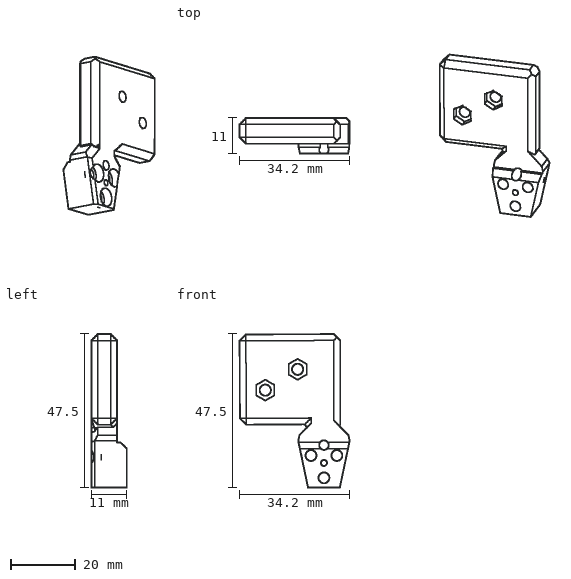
import cadquery as cq
import math


overall_height = 47.55
thickness = 8.0
bevel = 2.0
plate_left = -26.02
plate_right = 5.05
plate_bottom = 19.42
plate_height = 27.975
plate_tilt = 0.3
neck_left = -5.95
neck_bottom = plate_bottom - bevel
neck_top = 40.0

gusset_front = thickness / 2
gusset_bottom = 12.0
gusset_top = 23.0
gusset_bevel = 1.0
flare_x = -plate_right
flare_height = plate_bottom + neck_left - flare_x
flare_bevel_rise = 2.6

foot_base_half = 4.95
foot_wide_half = 8.0
foot_wide_height = 14.5
shoulder_half = 7.6
shoulder_height = 16.25
peak_half = 3.0
peak_height = shoulder_height + shoulder_half - peak_half
foot_side_bevel = 1.0

step_depth = 3.0
step_height = 14.0
step_bevel = 2.0

mount_holes = [(-8.15, 36.6), (-18.15, 30.15)]
mount_hole_diameter = 3.4
hexagon_sides = 6
nut_across_flats = 5.6
nut_depth = 2.5

screw_spacing = 8.0
lowest_screw_height = 3.0
screw_diameter = 3.3
head_diameter = 5.6
head_depth = 3.0
pilot_diameter = 1.8
locator_diameter = 2.9
locator_height = 13.15

front = -step_depth
back = thickness


def prism(outline, y_start, y_end):
    """Closed (x, z) outline extruded along Y."""
    plane = cq.Workplane("XZ", origin=(0, y_end, 0))
    return plane.polyline(outline).close().extrude(y_end - y_start)


def bore(x, z, diameter, y_start, y_end):
    """Cylinder along Y, used as a cutter."""
    plane = cq.Workplane("XZ", origin=(x, y_end, z))
    return plane.circle(diameter / 2).extrude(y_end - y_start)


def back_edge_cutter(start, end, inset, depth):
    """Wedge bevelling the back edge from start to end; the body lies left of that direction."""
    run_x = end[0] - start[0]
    run_z = end[1] - start[1]
    length = math.hypot(run_x, run_z)
    along = cq.Vector(run_x / length, 0, run_z / length)
    outward = cq.Vector(along.z, 0, -along.x)
    origin = cq.Vector(start[0], back, start[1]) - along * length
    plane = cq.Plane(origin=origin, xDir=outward, normal=along)
    wedge = [(-inset, 0), (inset, 0), (inset, -2 * depth)]
    return cq.Workplane(plane).polyline(wedge).close().extrude(3 * length)


def bevelled_bar(axis_plane, across, up, edges):
    """Long bar centred on the origin with its four long edges bevelled."""
    bar = cq.Workplane(axis_plane).rect(across, up).extrude(overall_height, both=True)
    return bar.edges(edges).chamfer(bevel)


def make_right_end(left, bottom, top):
    """Crossed bars whose right-hand bevels meet in mitred corners."""
    width = plate_right - left
    height = top - bottom
    upright = bevelled_bar("XY", width, thickness, "|Z")
    through = bevelled_bar("XZ", width, height, "|Y")
    centre = ((left + plate_right) / 2, thickness / 2, (bottom + top) / 2)
    return upright.intersect(through).translate(centre)


def make_plate():
    """Tilted plate, bevelled all round, whose right end is trimmed upright with mitred bevels."""
    spare = 2 * bevel
    length = plate_right + spare - plate_left
    plate = cq.Workplane("XY").box(length, thickness, plate_height, centered=False)
    plate = plate.edges().chamfer(bevel).translate((plate_left, 0, plate_bottom))
    pivot = (plate_left, 0, plate_bottom)
    pivot_end = (plate_left, 1, plate_bottom)
    plate = plate.rotate(pivot, pivot_end, -plate_tilt)
    right_end = make_right_end(plate_left - spare, neck_bottom, overall_height)
    return plate.intersect(right_end)


def make_neck():
    """Block with bevelled edges and mitred corners; its top lies inside the plate."""
    height = neck_top - neck_bottom
    lengthwise = bevelled_bar("YZ", thickness, height, "|X")
    lengthwise = lengthwise.translate((0, thickness / 2, neck_bottom + height / 2))
    return make_right_end(neck_left, neck_bottom, neck_top).intersect(lengthwise)


def make_gusset():
    post_outline = [
        (flare_x, gusset_bottom),
        (plate_right, gusset_bottom),
        (plate_right, flare_height),
        (flare_x, flare_height),
    ]
    post = prism(post_outline, gusset_front, back)
    post = post.faces(">Y").edges("<X").chamfer(gusset_bevel)
    post = post.faces(">Y").edges(">X").chamfer(bevel)

    flare_outline = [
        (flare_x, flare_height),
        (plate_right - bevel, flare_height),
        (plate_right - bevel, gusset_top),
        (flare_x - (gusset_top - flare_height), gusset_top),
    ]
    flare = prism(flare_outline, gusset_front, back)
    bevel_run = gusset_bevel + flare_bevel_rise
    inset = gusset_bevel * flare_bevel_rise / math.hypot(bevel_run, flare_bevel_rise)
    bevel_start = (flare_x - bevel_run, flare_height + flare_bevel_rise)
    bevel_end = (flare_x, flare_height)
    flare = flare.cut(back_edge_cutter(bevel_start, bevel_end, inset, gusset_bevel))
    return post.union(flare)


def make_foot():
    right_side = [
        (foot_base_half, 0),
        (foot_wide_half, foot_wide_height),
        (shoulder_half, shoulder_height),
        (peak_half, peak_height),
    ]
    left_side = [(-x, z) for x, z in reversed(right_side)]
    foot = prism(right_side + left_side, front, back)

    base, widest, shoulder, peak = right_side
    for start, end, size in [(base, widest, foot_side_bevel), (shoulder, peak, bevel)]:
        cutter = back_edge_cutter(start, end, size, size)
        foot = foot.cut(cutter).cut(cutter.mirror("YZ"))

    above_step = (
        cq.Workplane("YZ", origin=(-foot_wide_half, 0, 0))
        .moveTo(front, step_height - step_bevel)
        .lineTo(front + step_bevel, step_height)
        .lineTo(0, step_height)
        .lineTo(0, peak_height)
        .lineTo(front, peak_height)
        .close()
        .extrude(2 * foot_wide_half)
    )
    return foot.cut(above_step)


def cut_mount_holes(body):
    half_corner_angle = 180 / hexagon_sides
    corner_diameter = nut_across_flats / math.cos(math.radians(half_corner_angle))
    for x, z in mount_holes:
        body = body.cut(bore(x, z, mount_hole_diameter, 0, back))
        pocket = cq.Workplane("XZ").polygon(hexagon_sides, corner_diameter).extrude(-nut_depth)
        pocket = pocket.rotate((0, 0, 0), (0, 1, 0), half_corner_angle).translate((x, 0, z))
        body = body.cut(pocket)
    return body


def cut_foot_holes(body):
    triangle_height = screw_spacing * math.sqrt(3) / 2
    upper_screw_height = lowest_screw_height + triangle_height
    pilot_height = lowest_screw_height + triangle_height * 2 / 3
    screws = [
        (0, lowest_screw_height),
        (-screw_spacing / 2, upper_screw_height),
        (screw_spacing / 2, upper_screw_height),
    ]
    for x, z in screws:
        body = body.cut(bore(x, z, screw_diameter, front, back))
        body = body.cut(bore(x, z, head_diameter, back - head_depth, back))
    body = body.cut(bore(0, pilot_height, pilot_diameter, front, back))
    return body.cut(bore(0, locator_height, locator_diameter, front, back))


body = make_foot().union(make_neck()).union(make_gusset()).union(make_plate())
result = cut_foot_holes(cut_mount_holes(body))